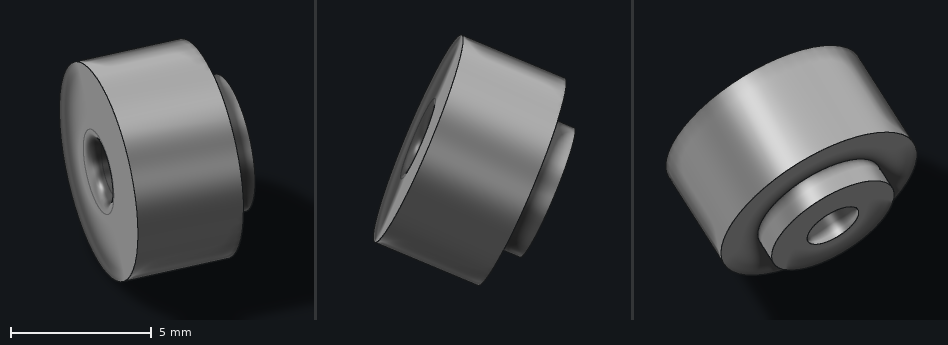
import cadquery as cq

body_diameter = 8.0
body_length = 4.0
boss_diameter = 5.0
boss_length = 1.0
bore_diameter = 2.1
bore_entry_radius = 0.5

total_length = body_length + boss_length


def cylinder_along_y(diameter, length):
    """Cylinder from the front face (Y = 0) toward +Y."""
    return cq.Workplane("XZ").circle(diameter / 2).extrude(-length)


def stepped_body():
    """Large disc at the front with a smaller boss on its back face."""
    body = cylinder_along_y(body_diameter, body_length)
    boss = cylinder_along_y(boss_diameter, total_length)
    return body.union(boss)


def add_bore(part):
    """Through bore whose front mouth is rounded."""
    bored = part.cut(cylinder_along_y(bore_diameter, total_length))
    bore_mouth = cq.selectors.RadiusNthSelector(0)
    return bored.faces("<Y").edges(bore_mouth).fillet(bore_entry_radius)


result = add_bore(stepped_body())